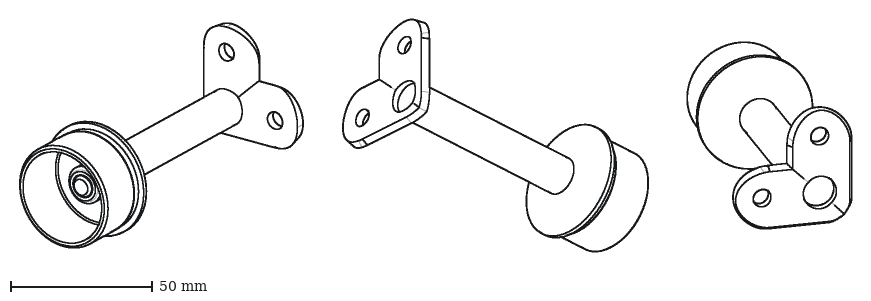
import cadquery as cq
import math

total_length = 106.5

spigot_diameter = 38.3
relief_diameter = 37.9
flange_diameter = 42.4
bore_diameter = 34.2
mouth_chamfer = 1.0
relief_start = 17.1
flange_start = 20.0
flange_thickness = 1.7
cap_length = 26.1
dome_radius = 45.3
floor_position = 20.7
floor_corner = 0.6

rod_diameter = 14.0
rod_start = 12.6
shoulder_diameter = 12.0
face_diameter = 11.0
outer_bevel_length = 1.0
inner_bevel_length = 0.4
stud_hole_mouth = 8.5
stud_hole_end = 32.0

stud_diameter = 8.0
stud_tip_diameter = 6.0
stud_start = 11.4

outer_radius = 24.2
seat_radius = 25.6
edge_thickness = 3.0
arm_half_width = 12.0
arm_reach = 31.0
arm_end_center = arm_reach - arm_half_width
corner_radius = 9.1
rod_hole_diameter = 12.0
screw_hole_diameter = 6.5
screw_hole_distance = 21.2
edge_angle = math.asin(arm_half_width / outer_radius)
rim_radius = outer_radius - edge_thickness
rim_half_width = rim_radius * math.sin(edge_angle)
saddle_axis_y = total_length + rim_radius * math.cos(edge_angle)
seat_axis_y = total_length + math.sqrt(seat_radius**2 - rim_half_width**2)
curve_steps = 6


def revolve_about_y(profile):
    """Solid of revolution about Y of a profile drawn as (radius, Y)."""
    return profile.close().revolve(360, (0, 0, 0), (0, 1, 0))


def make_cap():
    spigot_radius = spigot_diameter / 2
    flange_radius = flange_diameter / 2
    bore_radius = bore_diameter / 2
    rod_radius = rod_diameter / 2
    profile = (
        cq.Workplane("XY")
        .moveTo(bore_radius, 0)
        .lineTo(spigot_radius - mouth_chamfer, 0)
        .lineTo(spigot_radius, mouth_chamfer)
        .lineTo(spigot_radius, relief_start)
        .lineTo(relief_diameter / 2, relief_start)
        .lineTo(relief_diameter / 2, flange_start)
        .lineTo(flange_radius, flange_start)
        .lineTo(flange_radius, flange_start + flange_thickness)
        .radiusArc((rod_radius, cap_length), -dome_radius)
        .lineTo(rod_radius, floor_position)
        .lineTo(bore_radius - floor_corner, floor_position)
        .lineTo(bore_radius, floor_position - floor_corner)
    )
    return revolve_about_y(profile)


def make_stud():
    chamfer = (stud_diameter - stud_tip_diameter) / 2
    profile = (
        cq.Workplane("XY")
        .moveTo(0, stud_start)
        .lineTo(stud_tip_diameter / 2, stud_start)
        .lineTo(stud_diameter / 2, stud_start + chamfer)
        .lineTo(stud_diameter / 2, stud_hole_end)
        .lineTo(0, stud_hole_end)
    )
    return revolve_about_y(profile)


def make_rod(saddle):
    """Rod with a twice bevelled end, a blind stud hole there, and a far end coped to the saddle."""
    rod_radius = rod_diameter / 2
    hole_radius = stud_diameter / 2
    mouth_radius = stud_hole_mouth / 2
    shoulder_start = rod_start + inner_bevel_length
    cope_end = saddle_axis_y - math.sqrt(outer_radius**2 - rod_radius**2)
    profile = (
        cq.Workplane("XY")
        .moveTo(mouth_radius, rod_start)
        .lineTo(face_diameter / 2, rod_start)
        .lineTo(shoulder_diameter / 2, shoulder_start)
        .lineTo(rod_radius, shoulder_start + outer_bevel_length)
        .lineTo(rod_radius, cope_end)
        .lineTo(0, cope_end)
        .lineTo(0, stud_hole_end)
        .lineTo(hole_radius, stud_hole_end)
        .lineTo(hole_radius, rod_start + mouth_radius - hole_radius)
    )
    return revolve_about_y(profile).cut(saddle)


def arm_outline(depth):
    """Arm outline on the XZ plane `depth` in front of the saddle axis.

    The outline is set by its shape on the outer surface and runs radially from the axis.
    """

    def point(x, z):
        return (depth * math.tan(math.asin(x / outer_radius)), z)

    def arc(center_x, center_z, radius, start, sweep):
        angles = [math.radians(start + sweep * i / curve_steps) for i in range(1, curve_steps + 1)]
        return [point(center_x + radius * math.cos(a), center_z + radius * math.sin(a)) for a in angles]

    corner_center = corner_radius - arm_half_width
    outline = (
        cq.Workplane("XZ", origin=(0, saddle_axis_y - depth, 0))
        .moveTo(*point(arm_half_width, arm_end_center))
        .spline(arc(0, arm_end_center, arm_half_width, 0, 90), includeCurrent=True)
        .spline(arc(0, arm_end_center, arm_half_width, 90, 90), includeCurrent=True)
        .lineTo(*point(-arm_half_width, corner_center))
        .spline(arc(corner_center, corner_center, corner_radius, 180, 90), includeCurrent=True)
        .lineTo(*point(arm_half_width, -arm_half_width))
        .close()
    )
    return outline.val()


def make_end_bevel():
    """Conical cutter that brings the thicker seat down to the rim around the round arm end."""
    rim_tip_y = saddle_axis_y - rim_radius
    clear_radius = arm_half_width + edge_thickness
    return (
        cq.Workplane("XY", origin=(0, 0, arm_end_center))
        .moveTo(-arm_half_width, rim_tip_y)
        .lineTo(-rim_half_width, total_length)
        .lineTo(-clear_radius, total_length)
        .lineTo(-clear_radius, rim_tip_y)
        .close()
        .revolve(180, (0, 0, 0), (0, 1, 0))
    )


def make_arm():
    """Arm along +Z: a curved plate, cut off on the diagonal plane X = Z."""
    span = 2 * arm_reach
    outer_cylinder = cq.Workplane("XY", origin=(0, saddle_axis_y, -span)).circle(outer_radius).extrude(2 * span)
    seat_cylinder = cq.Workplane("XY", origin=(0, seat_axis_y, -span)).circle(seat_radius).extrude(2 * span)
    near_depth = 0.7 * outer_radius
    far_depth = 1.1 * outer_radius
    blank = cq.Solid.makeLoft([arm_outline(near_depth), arm_outline(far_depth)], True)
    miter = (
        cq.Workplane("XZ")
        .polyline([(-span, -span), (span, span), (-span, span)])
        .close()
        .extrude(-2 * total_length)
    )
    screw_hole = (
        cq.Workplane("XZ")
        .center(0, screw_hole_distance)
        .circle(screw_hole_diameter / 2)
        .extrude(-2 * total_length)
    )
    plate = outer_cylinder.intersect(cq.Workplane(blank)).cut(seat_cylinder)
    return plate.cut(make_end_bevel()).intersect(miter).cut(screw_hole)


def make_saddle():
    arm = make_arm()
    other_arm = arm.mirror(cq.Vector(1, 0, -1))
    rod_hole = cq.Workplane("XZ").circle(rod_hole_diameter / 2).extrude(-2 * total_length)
    return arm.union(other_arm).cut(rod_hole)


saddle = make_saddle()
cap = make_cap()
rod = make_rod(saddle)
stud = make_stud()

result = cq.Compound.makeCompound([saddle.val(), cap.val(), rod.val(), stud.val()])